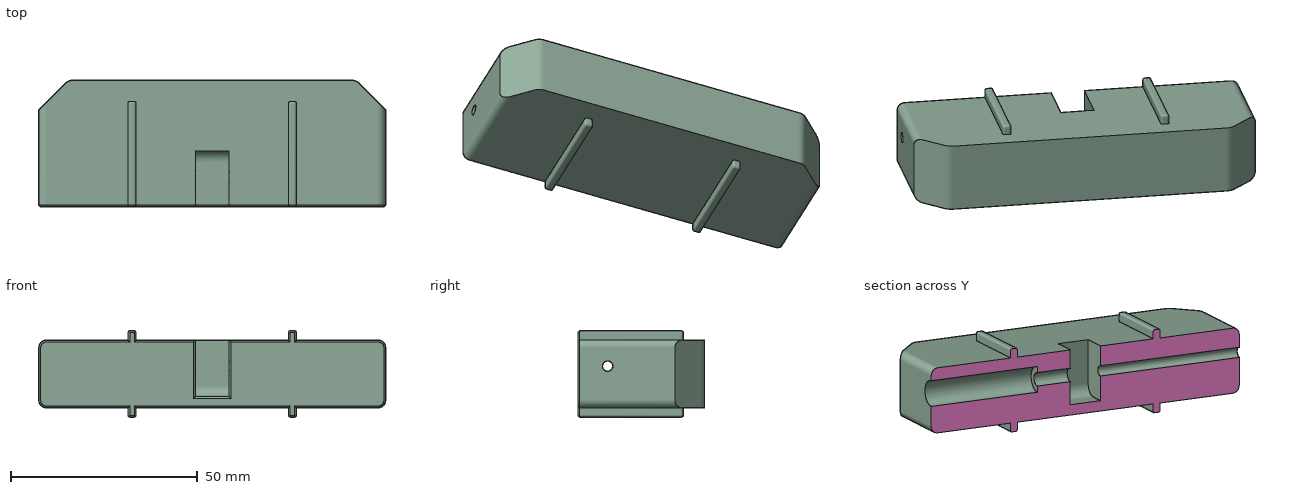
import cadquery as cq

body_length = 93.0
body_depth = 34.0
body_height = 18.2
side_fillet = 2.1
rear_corner_cut = 8.0
rear_corner_fillet = 3.0
front_chamfer = 0.5

overall_height = 23.2
rib_width = 2.2
rib_length = 28.3
rib_spacing = 43.0
rib_edge_fillet = 0.6

pocket_width = 9.0
pocket_depth = 15.0
pocket_floor_thickness = 3.0
pocket_fillet = 3.0

screw_y = 8.0
screw_below_top = 7.0
screw_head_diameter = 7.0
screw_clearance_diameter = 3.6
screw_thread_diameter = 2.7
screw_seat_thickness = 10.0

half_length = body_length / 2
top_face = body_height / 2


def make_body():
    block = cq.Workplane("XY").box(body_length, body_depth, body_height, centered=(True, False, True))
    block = block.edges("|Y").fillet(side_fillet)
    shoulder_y = body_depth - rear_corner_cut
    rear_half_length = half_length - rear_corner_cut
    outline = (
        cq.Workplane("XY", origin=(0, 0, -top_face))
        .moveTo(-half_length, 0)
        .lineTo(half_length, 0)
        .lineTo(half_length, shoulder_y)
        .lineTo(rear_half_length, body_depth)
        .lineTo(-rear_half_length, body_depth)
        .lineTo(-half_length, shoulder_y)
        .close()
        .extrude(body_height)
    )
    outline = outline.faces(">Y").edges("|Z").fillet(rear_corner_fillet)
    return block.intersect(outline)


def make_rib_pair(x):
    """One bar through the whole body, standing proud at the top and bottom."""
    bar = (
        cq.Workplane("XY", origin=(x, 0, 0))
        .box(rib_width, rib_length, overall_height, centered=(True, False, True))
    )
    return bar.edges("|Y or (>Y and |X) or (>Y and |Z)").fillet(rib_edge_fillet)


def make_pocket():
    height = body_height - pocket_floor_thickness
    pocket = (
        cq.Workplane("XY", origin=(0, 0, top_face - height))
        .box(pocket_width, pocket_depth, height, centered=(True, False, False))
    )
    return pocket.edges(">Y and <Z").fillet(pocket_fillet)


def bore(diameter, x_start, x_end):
    center = (x_start, screw_y, top_face - screw_below_top)
    return cq.Workplane("YZ", origin=center).circle(diameter / 2).extrude(x_end - x_start)


def cut_screw_hole(part):
    seat_x = -pocket_width / 2 - screw_seat_thickness
    part = part.cut(bore(screw_thread_diameter, -half_length, half_length))
    part = part.cut(bore(screw_clearance_diameter, -half_length, 0))
    return part.cut(bore(screw_head_diameter, -half_length, seat_x))


part = make_body()
for rib_x in (-rib_spacing / 2, rib_spacing / 2):
    part = part.union(make_rib_pair(rib_x))
part = part.cut(make_pocket())
part = part.faces("<Y").edges().chamfer(front_chamfer)
result = cut_screw_hole(part)